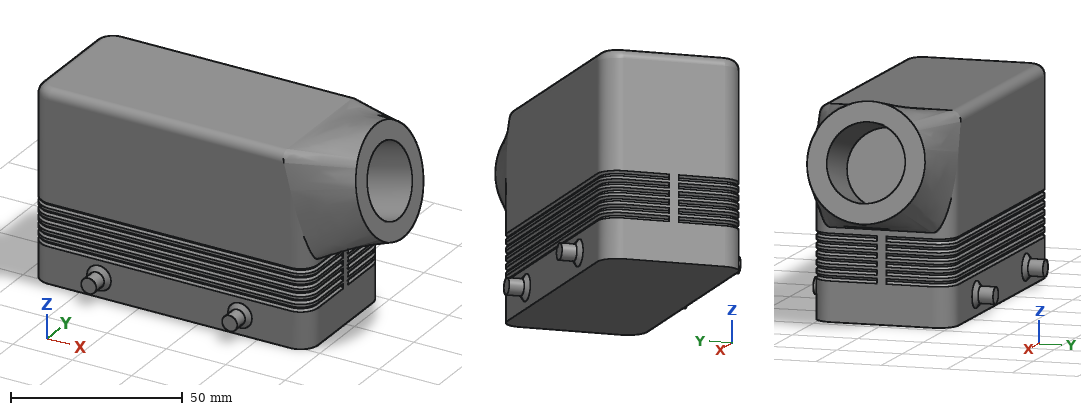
import cadquery as cq
import math

overall_length = 112.8

outlet_diameter = 36.0
outlet_length = 20.0
outlet_tilt = math.radians(14.4)
bore_diameter = 23.9

body_length = overall_length - outlet_length * math.cos(outlet_tilt)
body_width = 43.1
body_height = 63.0
corner_radius = 6.0
top_fillet = 3.0

groove_count = 6
lowest_groove_z = 13.0
highest_groove_z = 25.5
groove_pitch = (highest_groove_z - lowest_groove_z) / (groove_count - 1)
groove_width = 1.6
groove_depth = 0.7
groove_gap = 2.9

peg_span = 55.0
peg_diameter = 5.1
peg_foot_diameter = 8.1
peg_foot_height = 1.4
peg_spacing = 47.5
peg_z = 6.3


def make_body():
    """Solid block with rounded corners and a rounded top rim, standing on Z = 0."""
    block = cq.Workplane("XY").box(body_length, body_width, body_height, centered=(True, True, False))
    return block.edges("|Z").fillet(corner_radius).faces(">Z").edges().fillet(top_fillet)


def make_outlet_plane():
    """Tilted plane at the outlet root, its origin centred between the top face and the end wall."""
    half = outlet_diameter / 2
    root_x = body_length / 2 - half * math.sin(outlet_tilt)
    root_z = body_height - half * math.cos(outlet_tilt)
    return cq.Plane(
        origin=(root_x, 0, root_z),
        xDir=(0, 1, 0),
        normal=(math.cos(outlet_tilt), 0, math.sin(outlet_tilt)),
    )


def trim_body(body, plane):
    """Slice off the upper +X corner of the body beyond the outlet root plane."""
    waste = cq.Workplane(plane).rect(2 * body_width, 2 * outlet_diameter).extrude(body_length)
    return body.cut(waste)


def make_outlet(body, plane):
    """Spout blending from the sliced body section to a round mouth."""
    section = body.faces(cq.selectors.DirectionMinMaxSelector(plane.zDir, True)).val()
    corners = [plane.toLocalCoords(vertex.Center()) for vertex in section.Vertices()]
    angles = sorted(math.atan2(corner.y, corner.x) for corner in corners)

    def mouth_point(angle):
        radius = outlet_diameter / 2
        return plane.toWorldCoords((radius * math.cos(angle), radius * math.sin(angle), outlet_length))

    arcs = []
    for start, end in zip(angles, angles[1:] + [angles[0] + 2 * math.pi]):
        arcs.append(
            cq.Edge.makeThreePointArc(mouth_point(start), mouth_point((start + end) / 2), mouth_point(end))
        )
    mouth = cq.Wire.assembleEdges(arcs)
    return cq.Workplane(cq.Solid.makeLoft([section.outerWire(), mouth], True))


def make_bore(plane):
    """Blind hole running from the mouth back to the outlet root."""
    return cq.Workplane(plane).circle(bore_diameter / 2).extrude(outlet_length)


def make_groove(z):
    """V-shaped cutter running around both long sides, interrupted at the middle of each end wall."""
    end_x = body_length / 2
    side_y = body_width / 2
    start_y = -groove_gap / 2
    path = (
        cq.Workplane("XY", origin=(0, 0, z))
        .moveTo(-end_x, start_y)
        .lineTo(-end_x, corner_radius - side_y)
        .tangentArcPoint((corner_radius, -corner_radius))
        .lineTo(end_x - corner_radius, -side_y)
        .tangentArcPoint((corner_radius, corner_radius))
        .lineTo(end_x, start_y)
    )
    section = [
        (-end_x, z - groove_width / 2),
        (-end_x + groove_depth, z),
        (-end_x, z + groove_width / 2),
    ]
    near_half = cq.Workplane("XZ", origin=(0, start_y, 0)).polyline(section).close().sweep(path)
    return near_half.union(near_half.mirror("XZ"))


def make_peg(x, side):
    """Round peg with a conical foot, pointing outwards from one long side (side is +1 or -1)."""
    wall = body_width / 2
    profile = [
        (0, 0),
        (peg_foot_diameter / 2, 0),
        (peg_foot_diameter / 2, wall),
        (peg_diameter / 2, wall + peg_foot_height),
        (peg_diameter / 2, peg_span / 2),
        (0, peg_span / 2),
    ]
    peg_plane = cq.Plane(origin=(x, 0, peg_z), xDir=(1, 0, 0), normal=(0, 0, side))
    return cq.Workplane(peg_plane).polyline(profile).close().revolve(360, (0, 0), (0, 1))


outlet_plane = make_outlet_plane()
result = trim_body(make_body(), outlet_plane)
result = result.union(make_outlet(result, outlet_plane)).cut(make_bore(outlet_plane))
for index in range(groove_count):
    result = result.cut(make_groove(lowest_groove_z + index * groove_pitch))
for x in (-peg_spacing / 2, peg_spacing / 2):
    for side in (-1, 1):
        result = result.union(make_peg(x, side))